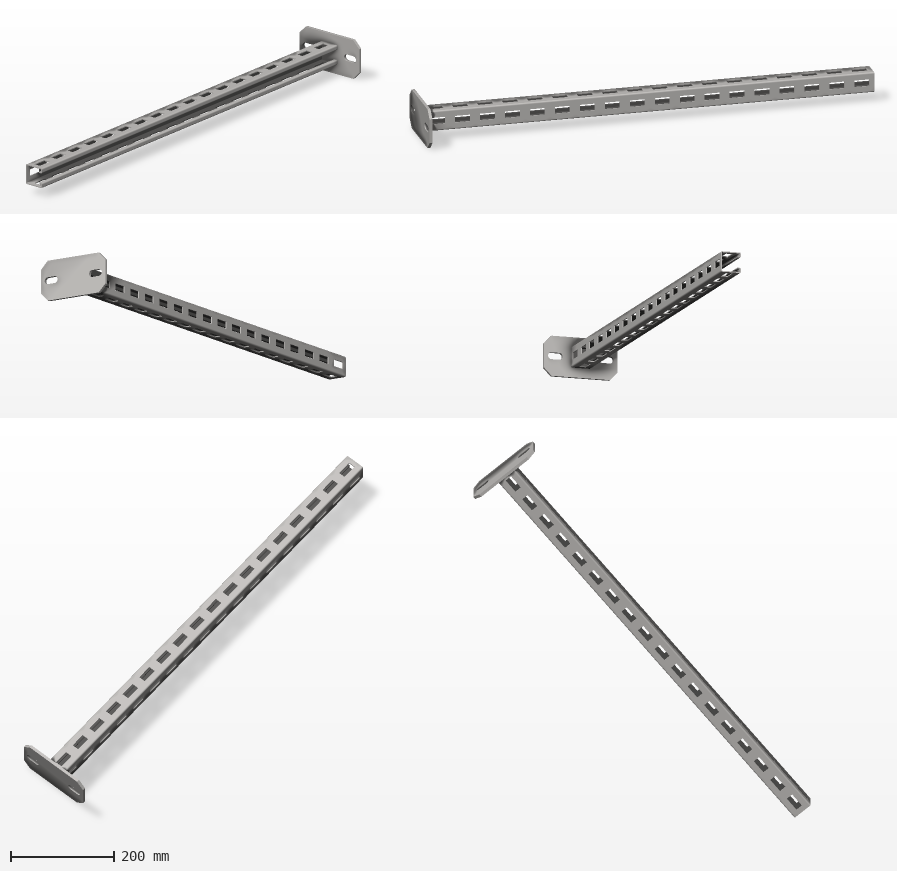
import cadquery as cq

TOTAL_LENGTH = 906.0
PLATE_WIDTH = 150.0
PLATE_HEIGHT = 80.0
PLATE_THICKNESS = 6.0
PLATE_CORNER_CHAMFER = 15.0

PLATE_SLOT_LENGTH = 30.0
PLATE_SLOT_WIDTH = 14.0
PLATE_SLOT_SPACING = 104.0

CHANNEL_LENGTH = TOTAL_LENGTH - PLATE_THICKNESS
CHANNEL_SIZE = 41.0
WALL = 2.0
BEND_RADIUS = 2.9
MOUTH_OPENING = 20.0
LIP_RETURN_DEPTH = 7.0
HALF_SIZE = CHANNEL_SIZE / 2
HALF_MOUTH = MOUTH_OPENING / 2

SLOT_COUNT = 18
SLOT_PITCH = CHANNEL_LENGTH / SLOT_COUNT
SLOT_LENGTH = 30.0
SLOT_WIDTH = 14.0


def make_plate():
    """Plate with cut corners and one round-ended slot on each side."""
    blank = (
        cq.Workplane("XZ")
        .rect(PLATE_WIDTH, PLATE_HEIGHT)
        .extrude(-PLATE_THICKNESS)
        .edges("|Y")
        .chamfer(PLATE_CORNER_CHAMFER)
    )
    slots = (
        cq.Workplane("XZ")
        .rarray(PLATE_SLOT_SPACING, 9, 2, 1)
        .slot2D(PLATE_SLOT_LENGTH, PLATE_SLOT_WIDTH)
        .extrude(-PLATE_THICKNESS)
    )
    return blank.cut(slots)


def channel_bar(x_min, x_max, height):
    """Rectangular bar of the channel's length, centered on Z = 0, running from the plate toward -Y."""
    return (
        cq.Workplane("XZ")
        .center((x_min + x_max) / 2, 0)
        .rect(x_max - x_min, height)
        .extrude(CHANNEL_LENGTH)
    )


def make_lipped_section():
    """Bent sheet section: web on -X, two flanges, and two lips on +X that turn back inward."""
    inner_half = HALF_SIZE - WALL
    inner_radius = BEND_RADIUS - WALL
    lip_tip = HALF_SIZE - LIP_RETURN_DEPTH

    envelope = channel_bar(-HALF_SIZE, HALF_SIZE, CHANNEL_SIZE).edges("|Y").fillet(BEND_RADIUS)
    cavity = channel_bar(-inner_half, inner_half, 2 * inner_half).edges("|Y").fillet(inner_radius)
    returns = channel_bar(lip_tip, inner_half, MOUTH_OPENING + 2 * WALL)
    mouth = channel_bar(lip_tip, HALF_SIZE, MOUTH_OPENING)
    section = envelope.cut(cavity).union(returns).cut(mouth)

    margin = WALL / 2
    lip_bends = cq.selectors.BoxSelector(
        (HALF_SIZE - margin, -CHANNEL_LENGTH, -HALF_MOUTH - margin),
        (HALF_SIZE + margin, 0, HALF_MOUTH + margin),
    )
    return section.edges("|Y").edges(lip_bends).fillet(BEND_RADIUS)


def cut_slot_rows(section):
    """Cut a row of rectangular slots through both flanges and a matching row through the web."""
    flange_cutter = cq.Workplane("XY").box(SLOT_WIDTH, SLOT_LENGTH, CHANNEL_SIZE)
    web_cutter = (
        cq.Workplane("XY")
        .box(2 * WALL, SLOT_LENGTH, SLOT_WIDTH)
        .translate((-HALF_SIZE, 0, 0))
    )
    for index in range(SLOT_COUNT):
        slot_y = -(index + 0.5) * SLOT_PITCH
        section = section.cut(flange_cutter.translate((0, slot_y, 0)))
        section = section.cut(web_cutter.translate((0, slot_y, 0)))
    return section


plate = make_plate()
channel = cut_slot_rows(make_lipped_section())

result = cq.Compound.makeCompound([plate.val(), channel.val()])